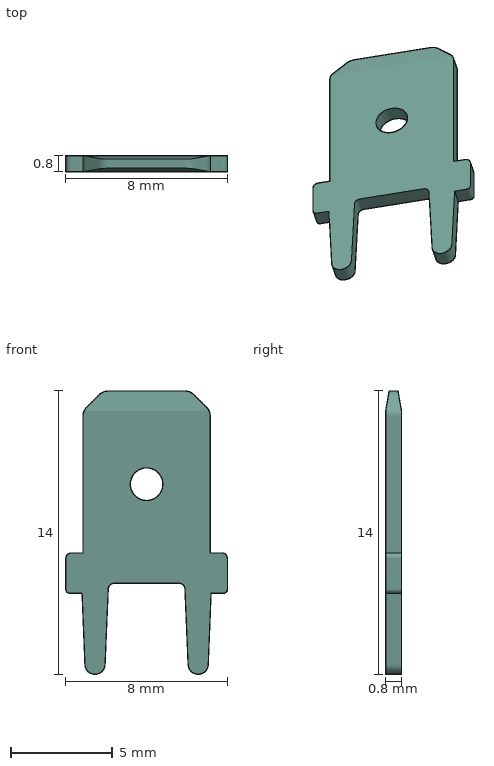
import cadquery as cq

height = 14.0
thickness = 0.8
shoulder_width = 8.0

selection_margin = 0.14

blade_width = 6.3
corner_cut = 1.0
corner_radius = 0.6
bevel_height = corner_cut
tip_thickness = 0.45
hole_diameter = 1.6
hole_z = 9.4

shoulder_bottom = 4.0
shoulder_top = 6.0
shoulder_top_radius = 0.28
shoulder_bottom_radius = 0.2

leg_x = 2.55
leg_tip_radius = 0.5
leg_outer_x = 3.19
notch_top = 4.5
notch_half_width = 1.88
notch_radius = 0.28


def prism(points):
    """Extrude an XZ outline through the full thickness, centred on Y."""
    return cq.Workplane("XZ").polyline(points).close().extrude(thickness / 2, both=True)


def round_top_edges(body, lowest_z, highest_z, radius):
    """Round the through-thickness edges lying between two heights."""
    band = cq.selectors.BoxSelector(
        (-shoulder_width, -thickness, lowest_z - selection_margin),
        (shoulder_width, thickness, highest_z + selection_margin),
    )
    return body.edges("|Y").edges(band).fillet(radius)


def make_blade():
    half = blade_width / 2
    blade = prism([
        (-half, notch_top),
        (half, notch_top),
        (half, height - corner_cut),
        (half - corner_cut, height),
        (corner_cut - half, height),
        (-half, height - corner_cut),
    ])
    return round_top_edges(blade, height - corner_cut, height, corner_radius)


def make_shoulders():
    bar_height = shoulder_top - shoulder_bottom
    bar = cq.Workplane("XY").box(shoulder_width, thickness, bar_height, centered=(True, True, False))
    bar = bar.faces(">Z").edges("|Y").fillet(shoulder_top_radius)
    bar = bar.faces("<Z").edges("|Y").fillet(shoulder_bottom_radius)
    return bar.translate((0, 0, shoulder_bottom))


def make_leg(side):
    """Tapered leg with a round tip; side is -1 or 1."""
    outline = (
        cq.Workplane("XZ")
        .moveTo(side * notch_half_width, notch_top)
        .lineTo(side * (leg_x - leg_tip_radius), leg_tip_radius)
        .threePointArc((side * leg_x, 0), (side * (leg_x + leg_tip_radius), leg_tip_radius))
        .lineTo(side * leg_outer_x, shoulder_bottom)
        .lineTo(side * leg_outer_x, notch_top)
        .close()
    )
    return outline.extrude(thickness / 2, both=True)


def make_notch():
    """Round-cornered gap between the legs, flared to follow their inner edges."""
    bottom_half_width = leg_x - leg_tip_radius
    notch = prism([
        (-bottom_half_width, leg_tip_radius),
        (-notch_half_width, notch_top),
        (notch_half_width, notch_top),
        (bottom_half_width, leg_tip_radius),
    ])
    return round_top_edges(notch, notch_top, notch_top, notch_radius)


def make_bevel(side):
    """Wedge removed from one face so the blade thins toward its top edge."""
    wedge = [
        (side * thickness / 2, height - bevel_height),
        (side * tip_thickness / 2, height),
        (side * thickness / 2, height),
    ]
    return cq.Workplane("YZ").polyline(wedge).close().extrude(blade_width / 2, both=True)


result = make_blade().union(make_shoulders())
for side in (-1, 1):
    result = result.union(make_leg(side))
result = result.cut(make_notch())
for side in (-1, 1):
    result = result.cut(make_bevel(side))

hole = (
    cq.Workplane("XZ")
    .center(0, hole_z)
    .circle(hole_diameter / 2)
    .extrude(thickness, both=True)
)
result = result.cut(hole)